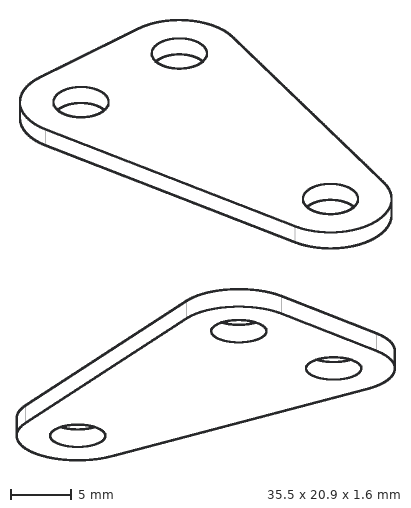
import cadquery as cq

length = 35.55
width = 20.9
thickness = 1.6
corner_radius = 5.1
hole_diameter = 4.6
lower_hole_shift = 2.38

hole_span = length - 2 * corner_radius
hole_drop = width - 2 * corner_radius
hole_centres = [(0, 0), (hole_span, 0), (lower_hole_shift, -hole_drop)]

plate = (
    cq.Workplane("XY")
    .polyline(hole_centres)
    .close()
    .offset2D(corner_radius, "arc")
    .extrude(thickness)
)

result = plate.faces(">Z").workplane(origin=(0, 0, thickness)).pushPoints(hole_centres).hole(hole_diameter)